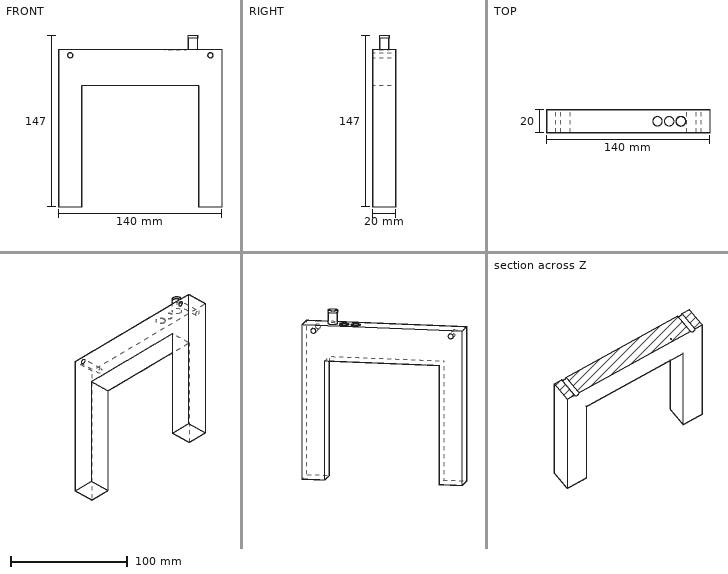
import cadquery as cq

frame_width = 140.0
frame_depth = 20.0
frame_height = 135.0
leg_width = 20.0
crossbar_height = 31.0

mounting_hole_diameter = 4.3
mounting_hole_drop = 5.0
mounting_hole_x = (frame_width - leg_width) / 2

feature_pitch = 10.0
connector_x = 45.0
recess_positions = [connector_x - feature_pitch, connector_x - 2 * feature_pitch]
recess_diameter = 8.0
recess_depth = 0.5

connector_height = 12.0
stem_diameter = 8.0
collar_diameter = 8.5
collar_height = 2.0


def make_frame():
    """Inverted U standing on Z = 0, centred on X and Y."""
    block = cq.Workplane("XY").box(
        frame_width, frame_depth, frame_height, centered=(True, True, False)
    )
    opening = cq.Workplane("XY").box(
        frame_width - 2 * leg_width,
        frame_depth,
        frame_height - crossbar_height,
        centered=(True, True, False),
    )
    return block.cut(opening)


def upright_cylinder(x, base_z, diameter, height):
    """Vertical cylinder on the Y = 0 centre line, rising from base_z."""
    return cq.Workplane("XY", origin=(x, 0, base_z)).circle(diameter / 2).extrude(height)


def make_mounting_holes():
    hole_z = frame_height - mounting_hole_drop
    return (
        cq.Workplane("XZ")
        .pushPoints([(-mounting_hole_x, hole_z), (mounting_hole_x, hole_z)])
        .circle(mounting_hole_diameter / 2)
        .extrude(frame_depth / 2, both=True)
    )


def make_connector():
    collar_base_z = frame_height + connector_height - collar_height
    stem = upright_cylinder(connector_x, frame_height, stem_diameter, connector_height)
    collar = upright_cylinder(connector_x, collar_base_z, collar_diameter, collar_height)
    return stem.union(collar)


def make_recesses():
    floor_z = frame_height - recess_depth
    recesses = cq.Workplane("XY")
    for x in recess_positions:
        recesses = recesses.add(upright_cylinder(x, floor_z, recess_diameter, recess_depth))
    return recesses.combine()


result = make_frame().cut(make_mounting_holes()).cut(make_recesses()).union(make_connector())